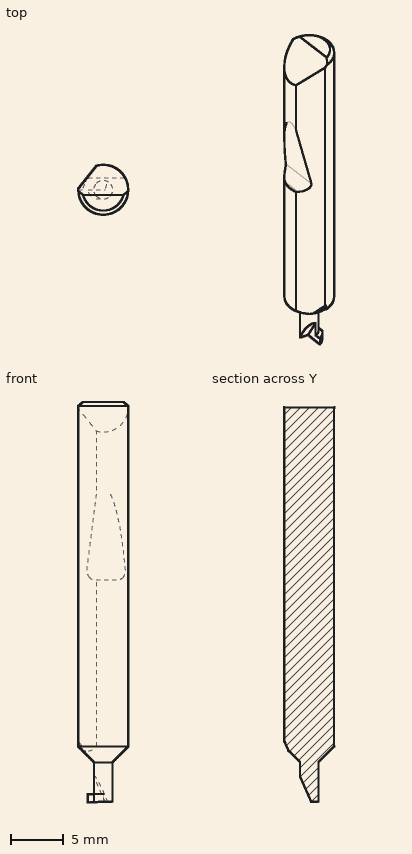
import cadquery as cq
import math

total_length = 38.1
shank_diameter = 4.7625
shank_radius = shank_diameter / 2
oversize = 3 * shank_diameter

neck_radius = 0.89
shank_start = 5.33
cone_height = shank_radius - neck_radius
cone_start = shank_start - cone_height

top_chamfer = 0.4
bevel_drop = 2.88

flat_distance = 1.93
flat_direction = 141.5

notch_top = 29.95
notch_bottom = 21.15
notch_depth = 1.25
notch_radius = 1.0

hook_height = 0.8
hook_reach = 1.49
hook_corner_x = -neck_radius
hook_corner_y = -neck_radius
hook_bulge = 0.09

gash_start = 2.45
gash_slope = 0.445
gash_skew = 0.3

end_relief_angle = 2.5


def make_blank():
    """Turned body: neck, cone, shank and top chamfer."""
    profile = [
        (0, 0),
        (neck_radius, 0),
        (neck_radius, cone_start),
        (shank_radius, shank_start),
        (shank_radius, total_length - top_chamfer),
        (shank_radius - top_chamfer, total_length),
        (0, total_length),
    ]
    return cq.Workplane("XZ").polyline(profile).close().revolve(axisStart=(0, 0), axisEnd=(0, 1))


def make_top_bevel():
    """Wedge above the 45 degree plane at the top of the shank."""
    bevel_start = total_length - bevel_drop
    profile = [
        (shank_radius + oversize, bevel_start - oversize),
        (shank_radius - oversize, bevel_start + oversize),
        (shank_radius + oversize, bevel_start + oversize),
    ]
    return cq.Workplane("YZ").polyline(profile).close().extrude(oversize, both=True)


def make_side_flat():
    """Block outside the flat, full height; it clears the thinner neck."""
    block = cq.Workplane("XY").box(oversize, 2 * oversize, 2 * total_length, centered=(False, True, False))
    return block.translate((flat_distance, 0, 0)).rotate((0, 0, 0), (0, 0, 1), flat_direction)


def make_notch():
    """Ramped notch across X with a quarter-round lower corner."""
    floor_y = shank_radius - notch_depth
    corner_y = floor_y + notch_radius
    corner_z = notch_bottom + notch_radius
    arc_mid = notch_radius * math.sqrt(0.5)
    profile = (
        cq.Workplane("YZ")
        .moveTo(shank_radius, notch_top)
        .lineTo(floor_y, corner_z)
        .threePointArc((corner_y - arc_mid, corner_z - arc_mid), (corner_y, notch_bottom))
        .lineTo(oversize, notch_bottom)
        .lineTo(oversize, notch_top)
        .close()
    )
    return profile.extrude(oversize, both=True)


def make_hook():
    """Cutting hook reaching toward -X on the -Y side of the rake face."""
    chord = math.hypot(hook_reach + hook_corner_x, hook_corner_y)
    bulge_x = hook_corner_y / chord * hook_bulge
    bulge_y = -(hook_reach + hook_corner_x) / chord * hook_bulge
    arc_mid = ((hook_corner_x - hook_reach) / 2 + bulge_x, hook_corner_y / 2 + bulge_y)
    profile = (
        cq.Workplane("XY")
        .moveTo(0, 0)
        .lineTo(-hook_reach, 0)
        .threePointArc(arc_mid, (hook_corner_x, hook_corner_y))
        .lineTo(0, hook_corner_y)
        .close()
    )
    return profile.extrude(hook_height)


def make_gash():
    """Space in front of the rake face (Y > 0), on the -X side of the sloping wall."""

    def section(y):
        wall_x = gash_skew * y - neck_radius
        return [
            (-oversize, -oversize),
            (wall_x + gash_slope * (gash_start + oversize), -oversize),
            (wall_x + gash_slope * (gash_start - oversize), oversize),
            (-oversize, oversize),
        ]

    near = [cq.Vector(x, 0, z) for x, z in section(0)]
    far = [cq.Vector(x, shank_diameter, z) for x, z in section(shank_diameter)]
    near_wire = cq.Wire.makePolygon(near, close=True)
    far_wire = cq.Wire.makePolygon(far, close=True)
    return cq.Workplane(obj=cq.Solid.makeLoft([near_wire, far_wire], True))


def make_end_relief():
    """Block below the underside, tilted about the cutting corner."""
    block = cq.Workplane("XY").box(oversize, oversize, shank_radius, centered=(True, True, False))
    block = block.translate((0, 0, -shank_radius))
    block = block.rotate((0, 0, 0), (0, 1, 0), -end_relief_angle)
    block = block.rotate((0, 0, 0), (1, 0, 0), -end_relief_angle)
    return block.translate((-hook_reach, 0, 0))


result = (
    make_blank()
    .cut(make_top_bevel())
    .cut(make_side_flat())
    .cut(make_notch())
    .union(make_hook())
    .cut(make_gash())
    .cut(make_end_relief())
)